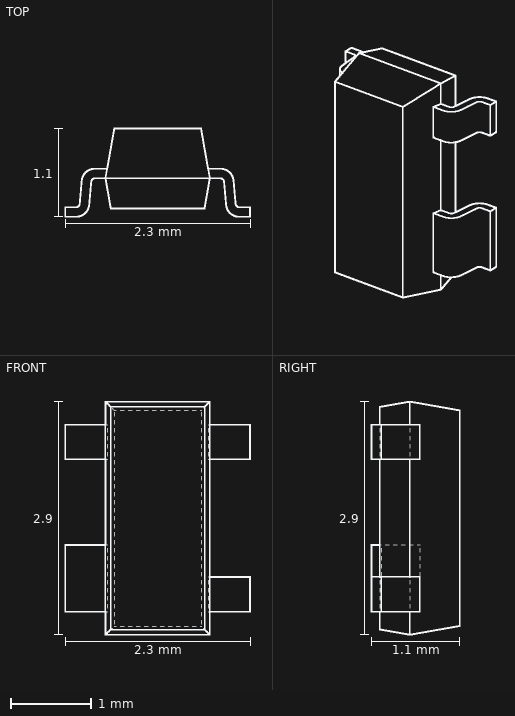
import cadquery as cq
import math

lead_span = 2.3
total_height = 1.1

body_width = 1.3
body_length = 2.9
standoff = 0.102
draft_angle = 10.0
parting_height = 0.478

lead_thickness = 0.122
bend_radius = 0.044
foot_length = 0.135
web_tilt = math.radians(5.0)
narrow_lead_width = 0.432
wide_lead_width = 0.832
lead_row_end = 1.163

outer_radius = bend_radius + lead_thickness

lead_places = [
    (-1, 1, narrow_lead_width),
    (-1, -1, wide_lead_width),
    (1, 1, narrow_lead_width),
    (1, -1, narrow_lead_width),
]


def tapered_half(height, direction):
    """Half of the body, extruded from the parting plane along Y in the given direction."""
    plane = cq.Plane(origin=(0, parting_height, 0), xDir=(1, 0, 0), normal=(0, direction, 0))
    return cq.Workplane(plane).rect(body_width, body_length).extrude(height, taper=draft_angle)


def make_body():
    upper = tapered_half(total_height - parting_height, 1)
    lower = tapered_half(parting_height - standoff, -1)
    return upper.union(lower)


def make_lead(width):
    """A lead on the +X side, centred on z = 0 and running in to the middle of the body."""
    tip = lead_span / 2
    foot_x = tip - foot_length
    foot_y = outer_radius
    arm_y = parting_height - bend_radius
    bend_offset = (
        bend_radius + outer_radius + (arm_y - foot_y) * math.sin(web_tilt)
    ) / math.cos(web_tilt)
    arm_x = foot_x - bend_offset

    def on_foot_bend(radius, angle):
        return (foot_x - radius * math.cos(angle), foot_y - radius * math.sin(angle))

    def on_arm_bend(radius, angle):
        return (arm_x + radius * math.cos(angle), arm_y + radius * math.sin(angle))

    middle_angle = (web_tilt + math.pi / 2) / 2

    profile = (
        cq.Workplane("XY")
        .moveTo(tip, 0)
        .lineTo(foot_x, 0)
        .threePointArc(on_foot_bend(outer_radius, middle_angle), on_foot_bend(outer_radius, web_tilt))
        .lineTo(*on_arm_bend(bend_radius, web_tilt))
        .threePointArc(on_arm_bend(bend_radius, middle_angle), (arm_x, parting_height))
        .lineTo(0, parting_height)
        .lineTo(0, parting_height + lead_thickness)
        .lineTo(arm_x, parting_height + lead_thickness)
        .threePointArc(on_arm_bend(outer_radius, middle_angle), on_arm_bend(outer_radius, web_tilt))
        .lineTo(*on_foot_bend(bend_radius, web_tilt))
        .threePointArc(on_foot_bend(bend_radius, middle_angle), (foot_x, lead_thickness))
        .lineTo(tip, lead_thickness)
        .close()
    )
    return profile.extrude(width / 2, both=True)


def place_lead(side, end, width):
    """Put a lead on its side of the body, with its outer edge at the end of the row."""
    lead = make_lead(width)
    if side < 0:
        lead = lead.mirror("YZ")
    return lead.translate((0, 0, end * (lead_row_end - width / 2)))


body = make_body()

leads = [place_lead(*place).cut(body) for place in lead_places]

result = cq.Compound.makeCompound([body.solids().val(), *[lead.solids().val() for lead in leads]])